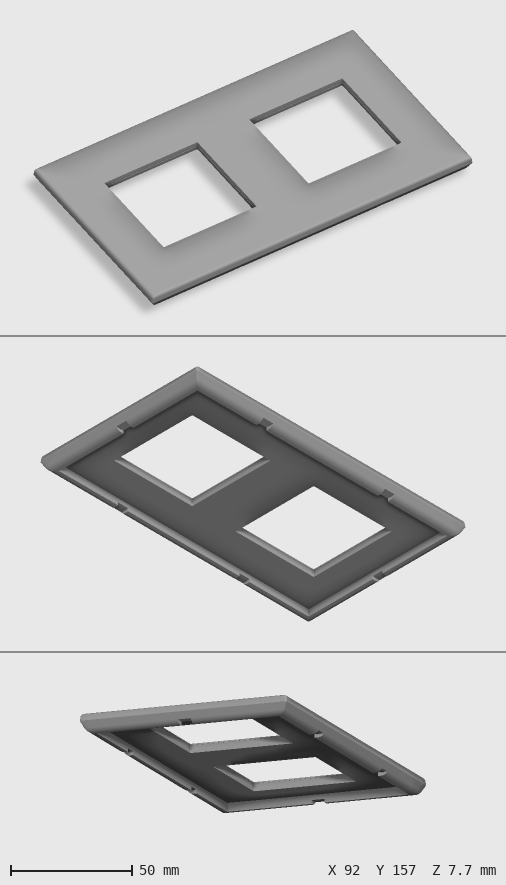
import cadquery as cq
import math

width = 92.0
length = 157.0
height = 7.7

band_height = 3.1
band_taper = 7.0
top_round = 1.4
skirt_taper = 28.0
bottom_round = 3.1
corner_round = 0.8

plate_thickness = 4.0
rim_thickness = 5.7

window_size = 45.5
window_pitch = 71.0
window_corner_round = 0.3

groove_top = 0.6
groove_bottom = 2.4
groove_depth = 0.2

notch_width = 5.8
notch_height = 1.5

skirt_height = height - band_height
window_centers = [(0, -window_pitch / 2), (0, window_pitch / 2)]


def edge_profile_prism(plane, axis, span, depth):
    """Prism along axis, with the outer edge profile at both ends of span."""
    half = span / 2
    top_half = half - band_height * math.tan(math.radians(band_taper))
    bottom_half = half - skirt_height * math.tan(math.radians(skirt_taper))
    prism = (
        cq.Workplane(plane)
        .polyline([
            (-bottom_half, 0),
            (bottom_half, 0),
            (half, skirt_height),
            (top_half, height),
            (-top_half, height),
            (-half, skirt_height),
        ])
        .close()
        .extrude(depth / 2, both=True)
    )
    prism = prism.edges(f"|{axis} and >Z").fillet(top_round)
    return prism.edges(f"|{axis} and <Z").fillet(bottom_round)


def outer_body():
    """Solid block with the edge profile on all four sides and rounded corners."""
    across = edge_profile_prism("XZ", "Y", width, length)
    along = edge_profile_prism("YZ", "X", length, width)
    body = across.intersect(along)
    corner_edges = body.edges("not(#X or #Y or #Z)")
    return corner_edges.fillet(corner_round)


def cavity():
    depth = height - plate_thickness
    return cq.Workplane("XY").rect(width - 2 * rim_thickness, length - 2 * rim_thickness).extrude(depth)


def window_prisms(size, bottom, top):
    """One square prism per window, with lightly rounded corners."""
    return (
        cq.Workplane("XY")
        .workplane(offset=bottom)
        .pushPoints(window_centers)
        .rect(size, size)
        .extrude(top - bottom)
        .edges("|Z")
        .fillet(window_corner_round)
    )


def windows():
    openings = window_prisms(window_size, 0, height)
    grooves = window_prisms(window_size + 2 * groove_depth, height - groove_bottom, height - groove_top)
    return openings.union(grooves)


def notches():
    """Slots through the rim at mid-width and in line with each window."""
    lengthwise = cq.Workplane("XY").rect(notch_width, length).extrude(notch_height)
    crosswise = (
        cq.Workplane("XY")
        .pushPoints(window_centers)
        .rect(width, notch_width)
        .extrude(notch_height)
    )
    return lengthwise.union(crosswise)


result = outer_body().cut(cavity()).cut(windows()).cut(notches())